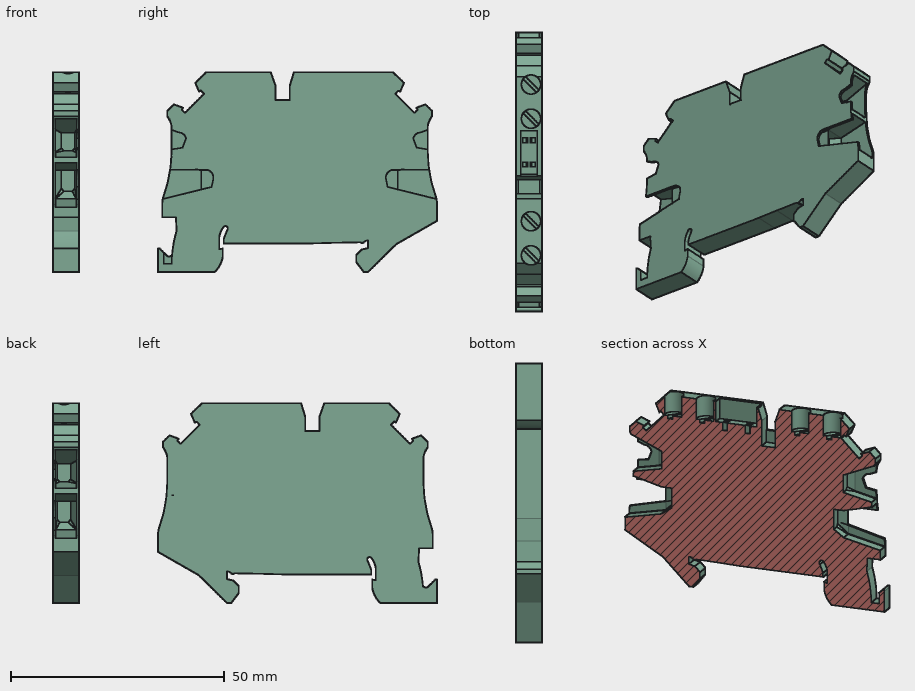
import cadquery as cq
import math

width = 6.15
height = 46.85
half_length = 32.2
clip_end = 33.2
wall = 0.6
half_width = width / 2
inner_half = half_width - wall

waist = 30.0
waist_top = 33.7
waist_bottom = 28.55
flare = (32.0, 17.4)
flare_corner = (32.145, 16.63)
flare_end = 15.85
body_bottom = 6.7
lip_bottom = 12.8
heel_bottom = 12.0

shoulder = [
    (21.85, height),
    (24.45, 44.3),
    (23.55, 42.2),
    (23.15, 42.5),
    (22.4, 41.75),
    (26.85, 37.3),
    (27.6, 38.05),
    (27.3, 38.5),
    (29.45, 39.3),
    (31.0, 37.75),
    (31.0, 36.5),
]
neck_start = (30.65, 35.9)
neck_middle = (30.17, 34.85)

heel_and_hook = [
    (half_length, heel_bottom),
    (22.6, 6.5),
    (16.0, 0),
    (15.0, 0),
    (13.2, 2.4),
    (13.2, 4.0),
    (14.5, 5.3),
    (16.0, 5.65),
    (16.0, 7.4),
    (15.5, 7.3),
    (14.7, 6.75),
    (14.2, 6.95),
    (8.3, 6.85),
    (3.0, body_bottom),
]
spring_slot = [
    (-17.8, body_bottom),
    (-17.8, 7.8),
    (-17.0, 9.8),
    ((-17.35, 10.75), (-17.9, 10.4)),
    ((-18.5, 9.3), (-18.8, 8.1)),
    (-18.8, 5.4),
]
tool_pocket_floor = 2.0
tool_pocket_front = -31.8
tool_pocket_back = -29.97
tool_pocket_rim = (tool_pocket_front, 4.58)
release_foot = [
    (-17.95, 5.55),
    (-17.95, 3.7),
    ((-18.6, 1.7), (-19.9, 0)),
    (-clip_end, 0),
    (-clip_end, 5.3),
    ((-33.05, 5.55), (-32.75, 5.5)),
    tool_pocket_rim,
    (tool_pocket_front, tool_pocket_floor),
    (tool_pocket_back, tool_pocket_floor),
    ((-29.47, 7.1), (-28.83, 9.7)),
    (-29.0, lip_bottom),
]

valley_start = (-29.8, 4.4)
valley_end = (-31.2, 4.0)
valley_bottom = (-30.5, 3.68)

groove_near = -2.35
groove_far = -5.6
groove_bottom = 40.3
groove_straight_top = 43.6
groove_mouth_near = -1.35
groove_mouth_far = -6.75
groove_well_depth = 3.0

screw_x = 0.47
screw_places = (-20.0, -12.0, 12.0, 20.0)
screw_diameter = 4.5
screw_head_depth = 5.0
screw_slot_width = 0.8
screw_slot_depth = 0.8
screw_slot_angle = -45

pocket_half = 1.95
pocket_start = 9.2
pocket_end = -1.03
pocket_depth = 5.0
crest_drop = 0.35
socket_places = (1.25, 6.95)
socket_length = 1.1
socket_inner = 0.25
socket_outer = 1.52
socket_slope = 0.45
socket_depth = 1.5

upper_mouth = (30.7, 26.72, 35.9)
upper_end = (22.9, 28.4, 32.6)
upper_throat_distance = 24.7
lower_mouth = (32.4, 15.16, 26.2)
lower_throat = (23.0, 17.2, 23.8)
lower_end = (20.5, 18.95, 23.8)
blind_left = -1.1
blind_right = 2.07
blind_corner = 0.6
throat_corner = 0.1

upper_window = [
    (31.0, 33.75),
    (28.4, 32.7),
    ((27.05, 32.15), (26.6, 31.3)),
    (27.4, 29.15),
    (31.0, 28.55),
]
lower_window = [
    (31.0, 24.0),
    (22.0, 24.0),
    ((20.7, 23.4), (20.2, 21.85)),
    (20.6, 19.95),
    (32.3, 17.05),
]


def waist_middle():
    """Middle point of the arc that leaves the vertical waist and widens to the flare."""
    rise = waist_bottom - flare[1]
    run = flare[0] - waist
    radius = (rise**2 + run**2) / (2 * run)
    half_angle = math.asin(rise / radius) / 2
    return (waist + radius * (1 - math.cos(half_angle)), waist_bottom - radius * math.sin(half_angle))


def mirrored(point):
    """The matching outline point of the -Y end."""
    return (-point[0], point[1])


def follow(outline, path):
    """Add the straight steps and arcs of a path to an outline."""
    for step in path:
        if isinstance(step[0], tuple):
            outline = outline.threePointArc(*step)
        else:
            outline = outline.lineTo(*step)
    return outline


def body():
    mid = waist_middle()
    outline = follow(cq.Workplane("YZ").moveTo(*shoulder[0]), shoulder[1:])
    outline = (
        outline.lineTo(*neck_start)
        .threePointArc(neck_middle, (waist, waist_top))
        .lineTo(waist, waist_bottom)
        .threePointArc(mid, flare)
        .threePointArc(flare_corner, (half_length, flare_end))
    )
    outline = follow(outline, heel_and_hook + spring_slot + release_foot)
    outline = (
        outline.lineTo(-half_length, lip_bottom)
        .lineTo(-half_length, flare_end)
        .threePointArc(mirrored(flare_corner), mirrored(flare))
        .threePointArc(mirrored(mid), (-waist, waist_bottom))
        .lineTo(-waist, waist_top)
        .threePointArc(mirrored(neck_middle), mirrored(neck_start))
    )
    outline = follow(outline, [mirrored(point) for point in reversed(shoulder)])
    outline = (
        outline.lineTo(groove_mouth_far, height)
        .lineTo(groove_far, groove_straight_top)
        .lineTo(groove_far, groove_bottom)
        .lineTo(groove_near, groove_bottom)
        .lineTo(groove_near, groove_straight_top)
        .lineTo(groove_mouth_near, height)
        .close()
    )
    return outline.extrude(half_width, both=True)


def box(x_range, y_range, z_range):
    size = [high - low for low, high in (x_range, y_range, z_range)]
    return cq.Workplane("XY").box(*size, centered=False).translate((x_range[0], y_range[0], z_range[0]))


def groove_well():
    return box(
        (-inner_half, inner_half),
        (groove_far, groove_near),
        (groove_bottom - groove_well_depth, groove_bottom),
    )


def tool_pocket_wall():
    return (
        cq.Workplane("YZ", origin=(-half_width, 0, 0))
        .moveTo(*valley_start)
        .threePointArc(valley_bottom, valley_end)
        .lineTo(*tool_pocket_rim)
        .lineTo(tool_pocket_front, tool_pocket_floor)
        .lineTo(valley_start[0], tool_pocket_floor)
        .close()
        .extrude(wall)
    )


def screw_hole(place):
    head_level = height - screw_head_depth
    hole = cq.Workplane("XY").circle(screw_diameter / 2).extrude(screw_head_depth)
    slot = (
        cq.Workplane("XY")
        .rect(screw_diameter, screw_slot_width)
        .extrude(-screw_slot_depth)
        .rotate((0, 0, 0), (0, 0, 1), screw_slot_angle)
        .intersect(cq.Workplane("XY").circle(screw_diameter / 2).extrude(-screw_slot_depth))
    )
    return hole.union(slot).translate((screw_x, place, head_level))


def test_pocket():
    floor = height - pocket_depth
    cutter = box((-pocket_half, pocket_half), (pocket_end, pocket_start), (floor, height))
    crest = box((-pocket_half, pocket_half), (groove_near, pocket_end), (height - crest_drop, height))
    cutter = cutter.union(crest)
    for place in socket_places:
        for side in (-1, 1):
            socket = (
                cq.Workplane("XZ")
                .polyline([
                    (side * socket_inner, floor),
                    (side * socket_outer, floor),
                    (side * socket_outer, floor - socket_depth),
                    (side * (socket_inner + socket_slope), floor - socket_depth),
                    (side * socket_inner, floor - socket_depth - socket_slope),
                ])
                .close()
                .extrude(socket_length / 2, both=True)
                .translate((0, place, 0))
            )
            cutter = cutter.union(socket)
    return cutter


def station_between(first, last, distance):
    """Station on the straight floor and ceiling that run from one station to another."""
    share = (distance - first[0]) / (last[0] - first[0])
    return tuple(a + share * (b - a) for a, b in zip(first, last))


def entry_section(left, right, station, corner):
    """Closed section square to Y: a rectangle with its two lower corners cut off."""
    distance, floor, ceiling = station
    points = [
        (left, ceiling),
        (left, floor + corner),
        (left + corner, floor),
        (right - corner, floor),
        (right, floor + corner),
        (right, ceiling),
    ]
    return cq.Wire.makePolygon([cq.Vector(x, -distance, z) for x, z in points], close=True)


def wire_entry(mouth, throat, end):
    mouth_wire = entry_section(-inner_half, inner_half, mouth, throat_corner)
    throat_wire = entry_section(-inner_half, inner_half, throat, throat_corner)
    end_wire = entry_section(blind_left, blind_right, end, blind_corner)
    outer = cq.Solid.makeLoft([mouth_wire, throat_wire], True)
    inner = cq.Solid.makeLoft([throat_wire, end_wire], True)
    return cq.Workplane(outer).union(cq.Workplane(inner))


def wall_window(path):
    """Opening through the +X wall; the first axis of its plane is the distance toward -Y."""
    plane = cq.Plane(origin=(half_width, 0, 0), xDir=(0, -1, 0), normal=(-1, 0, 0))
    return follow(cq.Workplane(plane).moveTo(*path[0]), path[1:]).close().extrude(wall)


result = body().union(tool_pocket_wall()).cut(groove_well()).cut(test_pocket())
for place in screw_places:
    result = result.cut(screw_hole(place))
upper_throat = station_between(upper_mouth, upper_end, upper_throat_distance)
entry_cutters = [
    wire_entry(upper_mouth, upper_throat, upper_end),
    wire_entry(lower_mouth, lower_throat, lower_end),
    wall_window(upper_window),
    wall_window(lower_window),
]
for cutter in entry_cutters:
    result = result.cut(cutter).cut(cutter.mirror("XZ"))